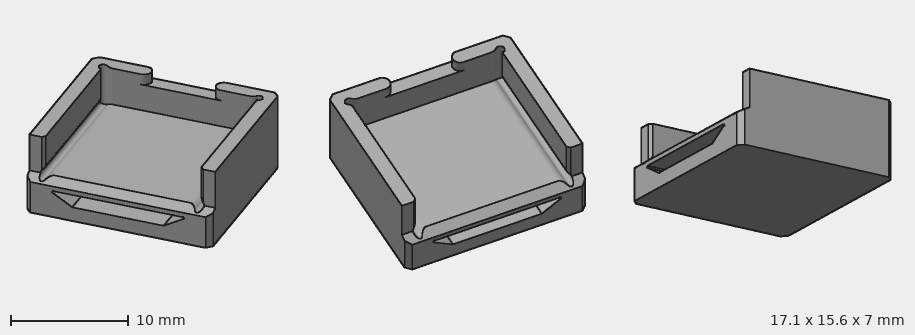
import cadquery as cq
import math

width = 17.05
depth = 15.55
height = 7.0
corner_chamfer = 0.5

wall = 1.4
floor_z = 3.5
front_step = 1.0
slope_drop = 0.5
wall_end_chamfer = 0.29

groove_radius = 0.38
long_blend = 0.94
short_blend = 0.66

notch_depth = 1.0
notch_half_width = 3.67
notch_bulge = 0.7

slot_bottom = 1.35
slot_top = 2.55
slot_bottom_half_width = 4.2
slot_top_half_width = 5.97
slot_side_angle = 30.0

front_y = -depth / 2
back_y = depth / 2
step_y = front_y + front_step
inner_x = width / 2 - wall
inner_back_y = back_y - wall


def make_block():
    block = cq.Workplane("XY").box(width, depth, height, centered=(True, True, False))
    return block.edges("|Z").chamfer(corner_chamfer)


def make_front_step():
    """Removes the upper front of the block, leaving a sloping ledge."""
    outline = [
        (front_y, floor_z - slope_drop),
        (step_y, floor_z),
        (step_y, height),
        (front_y, height),
    ]
    return cq.Workplane("YZ").polyline(outline).close().extrude(width / 2, both=True)


def make_cavity():
    """Pocket whose mouth widens at the chamfered front ends of the side walls."""
    half_outline = [
        (inner_x, inner_back_y),
        (inner_x, step_y + wall_end_chamfer),
        (inner_x + wall_end_chamfer, step_y),
    ]
    mirrored = [(-x, y) for x, y in reversed(half_outline)]
    outline = half_outline + mirrored
    return cq.Workplane("XY", origin=(0, 0, floor_z)).polyline(outline).close().extrude(height - floor_z)


def blend_radius(length):
    """Radius of an arc tangent to a wall at `length` from the edge and to the groove circle."""
    return (length**2 - groove_radius**2) / (2 * groove_radius)


def blend_points(length):
    """Wall tangent point, arc midpoint and groove tangent point, wall along +u, material at v > 0."""
    radius = blend_radius(length)
    contact = groove_radius / (groove_radius + radius)
    sweep = math.atan2(length, radius)
    middle = (length - radius * math.sin(sweep / 2), radius - radius * math.cos(sweep / 2))
    return (length, 0), middle, (length * contact, radius * contact)


def make_groove(plane, u_length, v_length, extent):
    """Groove round a cavity edge at the plane's origin.

    The two walls run along the plane's +u and -v axes. A zero length leaves that wall without a blend.
    """
    groove = cq.Workplane(plane).circle(groove_radius).extrude(extent)
    if u_length:
        start, middle, end = blend_points(u_length)
        blend = cq.Workplane(plane).moveTo(*start).threePointArc(middle, end).lineTo(0, 0).close()
        groove = groove.union(blend.extrude(extent))
    if v_length:
        start, middle, end = [(-v, -u) for u, v in blend_points(v_length)]
        blend = cq.Workplane(plane).moveTo(*start).threePointArc(middle, end).lineTo(0, 0).close()
        groove = groove.union(blend.extrude(extent))
    return groove


def make_floor_groove(end_y):
    """Groove between the floor and the left side wall, running out through the front ledge."""
    plane = cq.Plane(origin=(-inner_x, end_y, floor_z), xDir=(0, 0, 1), normal=(0, -1, 0))
    return make_groove(plane, short_blend, long_blend, end_y - front_y)


def make_corner_groove(side_blend, bottom_z):
    """Upright groove in the left back corner of the cavity."""
    plane = cq.Plane(origin=(-inner_x, inner_back_y, bottom_z), xDir=(1, 0, 0), normal=(0, 0, 1))
    return make_groove(plane, long_blend, side_blend, height - bottom_z)


def make_notch():
    """Notch in the back wall between two rounded wall ends."""
    middle_y = back_y - wall / 2
    bulge_x = notch_half_width - notch_bulge
    return (
        cq.Workplane("XY", origin=(0, 0, height - notch_depth))
        .moveTo(-notch_half_width, inner_back_y)
        .lineTo(notch_half_width, inner_back_y)
        .threePointArc((bulge_x, middle_y), (notch_half_width, back_y))
        .lineTo(-notch_half_width, back_y)
        .threePointArc((-bulge_x, middle_y), (-notch_half_width, inner_back_y))
        .close()
        .extrude(notch_depth)
    )


def make_slot():
    """Through slot with sloping sides and short steep facets square to them at the top."""
    slope = math.tan(math.radians(slot_side_angle))
    rise = slot_top - slot_bottom
    run = slot_top_half_width - slot_bottom_half_width
    side_run = (run + rise * slope) / (1 + slope**2)
    corner = (slot_bottom_half_width + side_run, slot_bottom + side_run * slope)
    half_outline = [
        (slot_bottom_half_width, slot_bottom),
        corner,
        (slot_top_half_width, slot_top),
    ]
    outline = half_outline + [(-x, z) for x, z in reversed(half_outline)]
    return cq.Workplane("XZ").polyline(outline).close().extrude(depth / 2, both=True)


def make_left_grooves(side_blend):
    """Floor and upright grooves of the left side, mitred where they meet in the back corner."""
    floor_groove = make_floor_groove(inner_back_y)
    corner_groove = make_corner_groove(side_blend, floor_z)
    long_floor_groove = make_floor_groove(inner_back_y + groove_radius)
    long_corner_groove = make_corner_groove(side_blend, floor_z - groove_radius)
    mitre = long_floor_groove.intersect(long_corner_groove)
    return floor_groove.union(corner_groove).union(mitre)


left_grooves = make_left_grooves(short_blend)
right_grooves = make_left_grooves(0).mirror("YZ")

result = (
    make_block()
    .cut(make_front_step())
    .cut(make_cavity())
    .cut(left_grooves)
    .cut(right_grooves)
    .cut(make_notch())
    .cut(make_slot())
)